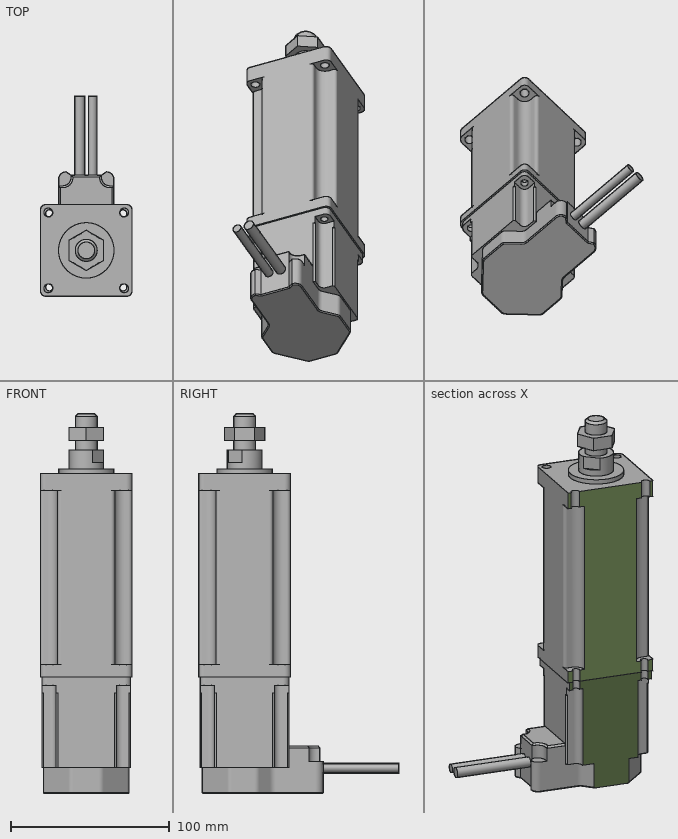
import cadquery as cq
import math

COVER_TOP = 16.5
EAR_TOP = 20.4
CONNECTOR_TOP = 30.2
MOTOR_BEVEL_TOP = 63.5
MOTOR_GROOVE_TOP = 68.3
MOTOR_TOP = 73.5
LOWER_FLANGE_TOP = 81.5
UPPER_FLANGE_BOTTOM = 191.1
HOUSING_TOP = 202.0
COLLAR_TOP = 204.8
ROD_FLAT_BOTTOM = 208.8
ROD_TOP = 216.7
NUT_BOTTOM = 222.5
NUT_TOP = 230.9
STUD_TOP = 239.5

HOUSING_WIDTH = 58.0
HOUSING_CORNER_RADIUS = 3.5
HOUSING_GROOVE_DEPTH = 11.0
HOUSING_GROOVE_RADIUS = 6.0
HOUSING_GROOVE_LIP = 2.2
COLLAR_DIAMETER = 35.0

ROD_DIAMETER = 22.0
ROD_FLAT_DISTANCE = 19.2
ROD_FLAT_ANGLE = -38.7
STUD_DIAMETER = 14.0
STUD_CHAMFER = 1.7
NUT_ACROSS_FLATS = 22.0
NUT_ANGLE = 30

UPPER_HOLE_DIAMETER = 5.5
UPPER_HOLE_PITCH = 48.0
LOWER_HOLE_DIAMETER = 4.5
LOWER_HOLE_PITCH = 46.5

MOTOR_WIDTH = 56.0
MOTOR_CORNER_RADIUS = 3.5
MOTOR_GROOVE_DEPTH = 9.0
MOTOR_GROOVE_RADIUS = 3.8
MOTOR_BEVEL_WIDTH = 1.2
MOTOR_BEVEL_DEPTH = 1.0

COVER_HALF_WIDTH = 27.0
COVER_FRONT = -26.8
COVER_CORNER_CUT = 17.2
COVER_SIDE_BACK = 8.1
COVER_CORNER_RADIUS = 3.8
COVER_TAIL_RADIUS = 4.8
COVER_BOTTOM_CHAMFER = 0.7

CONNECTOR_HALF_WIDTH = 17.5
CONNECTOR_BACK = 47.5
CONNECTOR_CHAMFER = 1.2
EAR_RADIUS = 4.8
EAR_ROOT_X = 9.5
EAR_BACK = 49.5
NOTCH_INNER_X = 9.5
NOTCH_FRONT = 40.7
NOTCH_RADIUS = 5.3

CABLE_END = 97.2
CABLE_HEIGHT = 16.0
CABLES = [(-4.0, 6.5), (4.0, 5.5)]

QUARTER_TURNS = (0, 90, 180, 270)


def cylinder(diameter, bottom, top):
    return cq.Workplane("XY").workplane(offset=bottom).circle(diameter / 2).extrude(top - bottom)


def rounded_square(width, corner_radius, bottom, top):
    square = cq.Workplane("XY").workplane(offset=bottom).rect(width, width).extrude(top - bottom)
    return square.edges("|Z").fillet(corner_radius)


def square_hole_pattern(diameter, pitch, bottom, top):
    plane = cq.Workplane("XY").workplane(offset=bottom)
    centers = plane.rect(pitch, pitch, forConstruction=True).vertices()
    return centers.circle(diameter / 2).extrude(top - bottom)


def cut_on_four_corners(body, cutter):
    for angle in QUARTER_TURNS:
        body = body.cut(cutter.rotate((0, 0, 0), (0, 0, 1), angle))
    return body


def with_diagonal_twin(cutter):
    """Add the mirror image of a cutter across the vertical plane X = Y."""
    return cutter.union(cutter.mirror("XZ").rotate((0, 0, 0), (0, 0, 1), 90))


def corner_groove(width, depth, radius, bottom, top):
    """Square notch along the (+X, +Y) corner of a square bar, with a rounded inner corner."""
    wall = width / 2 - depth
    groove = cq.Workplane("XY").box(width, width, top - bottom, centered=False)
    groove = groove.edges("|Z and <X and <Y").fillet(radius)
    return groove.translate((wall, wall, bottom))


def groove_lip_cutters(width, depth, radius, bottom, top):
    """Round over both mouths of the (+X, +Y) corner groove."""
    face = width / 2
    wall = face - depth
    diagonal = radius * math.sqrt(0.5)
    lip = (
        cq.Workplane("XY")
        .workplane(offset=bottom)
        .moveTo(wall, face)
        .lineTo(wall - radius, face)
        .threePointArc(
            (wall - radius + diagonal, face - radius + diagonal),
            (wall, face - radius),
        )
        .close()
        .extrude(top - bottom)
    )
    return with_diagonal_twin(lip)


def groove_bevel_cutters(width, depth, bottom, top):
    """Bevel both mouths of the (+X, +Y) corner groove."""
    face = width / 2
    wall = face - depth
    outline = [(wall, face), (wall - MOTOR_BEVEL_WIDTH, face), (wall, face - MOTOR_BEVEL_DEPTH)]
    bevel = cq.Workplane("XY").workplane(offset=bottom).polyline(outline).close().extrude(top - bottom)
    return with_diagonal_twin(bevel)


def make_rod():
    """Rod with two wrench flats, threaded stud and hexagonal nut, standing on the collar."""
    rod = cylinder(ROD_DIAMETER, COLLAR_TOP, ROD_TOP)
    flat_height = ROD_TOP - ROD_FLAT_BOTTOM
    between_flats = (
        cq.Workplane("XY")
        .workplane(offset=ROD_FLAT_BOTTOM)
        .rect(ROD_FLAT_DISTANCE, 2 * ROD_DIAMETER)
        .extrude(flat_height)
        .rotate((0, 0, 0), (0, 0, 1), ROD_FLAT_ANGLE)
    )
    rod = rod.cut(cylinder(2 * ROD_DIAMETER, ROD_FLAT_BOTTOM, ROD_TOP).cut(between_flats))
    stud = cylinder(STUD_DIAMETER, ROD_TOP, STUD_TOP).faces(">Z").chamfer(STUD_CHAMFER)
    nut_across_corners = NUT_ACROSS_FLATS / math.cos(math.radians(30))
    nut = (
        cq.Workplane("XY")
        .polygon(6, nut_across_corners)
        .extrude(NUT_TOP - NUT_BOTTOM)
        .rotate((0, 0, 0), (0, 0, 1), NUT_ANGLE)
        .translate((0, 0, NUT_BOTTOM))
    )
    return rod.union(stud).union(nut)


def make_actuator():
    """Square housing with grooved corners between two flanges, with its collar and rod."""
    housing = rounded_square(HOUSING_WIDTH, HOUSING_CORNER_RADIUS, MOTOR_TOP, HOUSING_TOP)
    groove_range = (LOWER_FLANGE_TOP, UPPER_FLANGE_BOTTOM)
    groove = corner_groove(HOUSING_WIDTH, HOUSING_GROOVE_DEPTH, HOUSING_GROOVE_RADIUS, *groove_range)
    lips = groove_lip_cutters(HOUSING_WIDTH, HOUSING_GROOVE_DEPTH, HOUSING_GROOVE_LIP, *groove_range)
    housing = cut_on_four_corners(housing, groove.union(lips))
    housing = housing.cut(
        square_hole_pattern(UPPER_HOLE_DIAMETER, UPPER_HOLE_PITCH, UPPER_FLANGE_BOTTOM, HOUSING_TOP)
    )
    housing = housing.cut(
        square_hole_pattern(LOWER_HOLE_DIAMETER, LOWER_HOLE_PITCH, MOTOR_TOP, LOWER_FLANGE_TOP)
    )
    return housing.union(cylinder(COLLAR_DIAMETER, HOUSING_TOP, COLLAR_TOP)).union(make_rod())


def make_motor_body():
    """Square motor with a plain flange on top and grooved corners below it."""
    body = rounded_square(MOTOR_WIDTH, MOTOR_CORNER_RADIUS, COVER_TOP, MOTOR_TOP)
    groove = corner_groove(MOTOR_WIDTH, MOTOR_GROOVE_DEPTH, MOTOR_GROOVE_RADIUS, COVER_TOP, MOTOR_GROOVE_TOP)
    bevels = groove_bevel_cutters(MOTOR_WIDTH, MOTOR_GROOVE_DEPTH, COVER_TOP, MOTOR_BEVEL_TOP)
    body = cut_on_four_corners(body, groove.union(bevels))
    return body.cut(square_hole_pattern(LOWER_HOLE_DIAMETER, LOWER_HOLE_PITCH, MOTOR_GROOVE_TOP, MOTOR_TOP))


def make_cover():
    """Eight-sided cover under the motor, narrowing to a tail behind it."""
    tail_start = COVER_SIDE_BACK + COVER_HALF_WIDTH - CONNECTOR_HALF_WIDTH
    tail_end = MOTOR_WIDTH / 2
    right_side = [
        (COVER_HALF_WIDTH - COVER_CORNER_CUT, COVER_FRONT),
        (COVER_HALF_WIDTH, COVER_FRONT + COVER_CORNER_CUT),
        (COVER_HALF_WIDTH, COVER_SIDE_BACK),
        (CONNECTOR_HALF_WIDTH, tail_start),
        (CONNECTOR_HALF_WIDTH, tail_end),
    ]
    left_side = [(-x, y) for x, y in reversed(right_side)]
    cover = cq.Workplane("XY").polyline(right_side + left_side).close().extrude(COVER_TOP)
    reach = 2 * COVER_HALF_WIDTH
    side_middle = (COVER_SIDE_BACK + tail_start) / 2
    tail_middle = (tail_start + tail_end) / 2
    octagon_corners = cq.selectors.BoxSelector((-reach, -reach, 0), (reach, side_middle, COVER_TOP))
    tail_corners = cq.selectors.BoxSelector((-reach, side_middle, 0), (reach, tail_middle, COVER_TOP))
    cover = cover.edges("|Z").edges(octagon_corners).fillet(COVER_CORNER_RADIUS)
    return cover.edges("|Z").edges(tail_corners).fillet(COVER_TAIL_RADIUS)


def make_connector():
    """Block behind the motor, full height in the middle and stepped down over its two ears."""
    front = MOTOR_WIDTH / 2
    ear_x = CONNECTOR_HALF_WIDTH - EAR_RADIUS
    ear_y = EAR_BACK - EAR_RADIUS
    diagonal = EAR_RADIUS * math.sqrt(0.5)
    lower = (
        cq.Workplane("XY")
        .moveTo(CONNECTOR_HALF_WIDTH, front)
        .lineTo(CONNECTOR_HALF_WIDTH, ear_y)
        .threePointArc((ear_x + diagonal, ear_y + diagonal), (ear_x, EAR_BACK))
        .lineTo(EAR_ROOT_X, CONNECTOR_BACK)
        .lineTo(-EAR_ROOT_X, CONNECTOR_BACK)
        .lineTo(-ear_x, EAR_BACK)
        .threePointArc((-ear_x - diagonal, ear_y + diagonal), (-CONNECTOR_HALF_WIDTH, ear_y))
        .lineTo(-CONNECTOR_HALF_WIDTH, front)
        .close()
        .extrude(EAR_TOP)
    )
    upper = (
        cq.Workplane("XY")
        .box(
            2 * CONNECTOR_HALF_WIDTH,
            CONNECTOR_BACK - front,
            CONNECTOR_TOP - EAR_TOP,
            centered=(True, False, False),
        )
        .translate((0, front, EAR_TOP))
    )
    notch = (
        cq.Workplane("XY")
        .box(CONNECTOR_HALF_WIDTH, CONNECTOR_BACK, CONNECTOR_TOP, centered=False)
        .edges("|Z and <X and <Y")
        .fillet(NOTCH_RADIUS)
        .translate((NOTCH_INNER_X, NOTCH_FRONT, EAR_TOP))
    )
    upper = upper.cut(notch).cut(notch.mirror("YZ"))
    upper = upper.faces(">Z").edges("not <Y").chamfer(CONNECTOR_CHAMFER)
    return lower.union(upper)


def make_cable(x, diameter):
    """Cable from the motor's rear face, out through the connector block."""
    start = MOTOR_WIDTH / 2
    root = cq.Workplane("XZ", origin=(x, start, CABLE_HEIGHT))
    return root.circle(diameter / 2).extrude(start - CABLE_END)


def make_motor():
    """Motor body with its cover, connector block and cables."""
    base = make_cover().union(make_connector())
    base = base.faces("<Z").chamfer(COVER_BOTTOM_CHAMFER)
    motor = make_motor_body().union(base)
    for x, diameter in CABLES:
        motor = motor.union(make_cable(x, diameter))
    return motor


actuator = make_actuator()
motor = make_motor()
result = cq.Compound.makeCompound([actuator.val(), motor.val()])